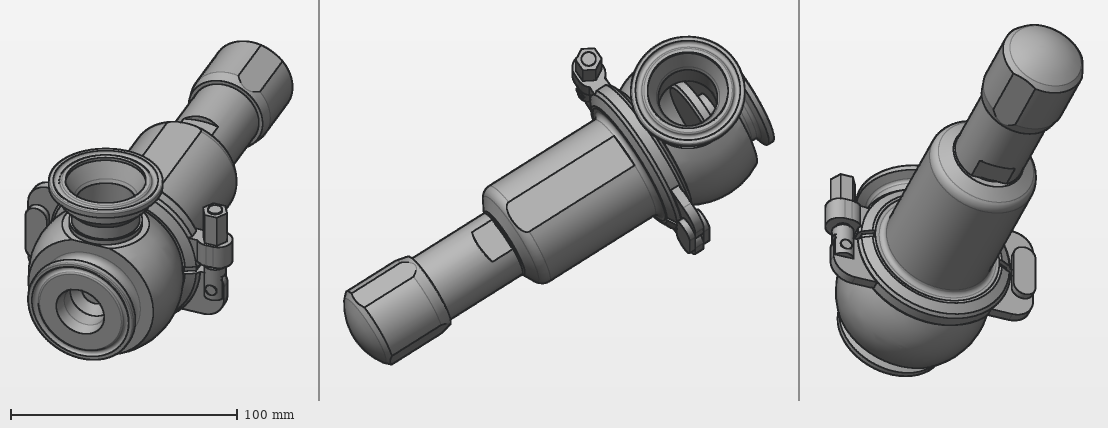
import cadquery as cq
import math


TOTAL_LENGTH = 206.0
INLET_FACE = -29.25
OUTLET_FACE = 52.0
CAP_END = INLET_FACE + TOTAL_LENGTH

RIM_RADIUS = 25.25
RIM_THICKNESS = 2.9
RIM_BACK_RADIUS = 21.3
RIM_BACK_DEPTH = 4.5
FERRULE_NECK_RADIUS = 20.1
FERRULE_NECK_DEPTH = 6.2
GROOVE_RADIUS = 21.75
GROOVE_WIDTH = 2.9
GROOVE_LIP_FILLET = 0.9
RIM_EDGE_FILLET = 0.5

SPHERE_RADIUS = 34.4
SPHERE_INLET_END = -17.0
OUTLET_SEAT_HEIGHT = 28.5
CAVITY_RADIUS = 29.0
CAVITY_FLOOR = -13.5
INLET_FILLET = 3.5

INLET_RADIUS = 11.5
INLET_TAPER_RADIUS = 10.1
INLET_TAPER_DEPTH = 5.5
INLET_STRAIGHT_DEPTH = 12.8
INLET_END_RADIUS = 6.2
INLET_END_DEPTH = 16.7
NOZZLE_NECK_RADIUS = 9.5
NOZZLE_HEAD_RADIUS = 20.0
NOZZLE_HEAD_START = -8.1
NOZZLE_HEAD_END = -3.1
NOZZLE_CHAMFER = 1.2

OUTLET_NECK_RADIUS = 15.1
REDUCER_TOP = 42.2
REDUCER_BOTTOM = 37.0
OUTLET_COLLAR_RADIUS = 16.2
OUTLET_COLLAR_TOP = 30.8
OUTLET_MOUTH_RADIUS = 17.8
OUTLET_MOUTH_DEPTH = 1.5
OUTLET_CONE_RADIUS = 14.0
OUTLET_CONE_DEPTH = 8.7
OUTLET_BORE_RADIUS = 13.1
OUTLET_BORE_DEPTH = 10.5

JOINT = 24.7
FLANGE_RADIUS = 34.0
FLANGE_HALF = 2.2
HUB_FLANGE_HALF = 4.6
CLAMP_HALF = 6.5
SPHERE_BONNET_END = JOINT - CLAMP_HALF
HUB_RADIUS = math.sqrt(SPHERE_RADIUS**2 - SPHERE_BONNET_END**2)
CLAMP_RADIUS = 36.0
CLAMP_FLAT_HALF = 2.5
CLAMP_SHOULDER_HALF = 4.1
CLAMP_SHOULDER_RADIUS = 34.8
CLAMP_SIDE_RADIUS = 30.5
SPLIT_HALF = 1.75

EAR_HALF = 2.2
EAR_HEIGHT = 24.0
EAR_CORNER = 10.0
EAR_INNER_X = 26.0
PIN_RADIUS = 2.6
PIN_Z = 8.45
KNUCKLE_RADIUS = 5.1
HINGE_END = -46.65
HINGE_X = HINGE_END + KNUCKLE_RADIUS
BOLT_X = 42.1
LINK_HALF = 5.3

LUG_RADIUS = 6.4
LUG_END = 50.0
LUG_CENTER_SPACING = 3.4
LUG_BOTTOM = 5.0
LUG_TOP = 16.2
LUG_NECK_HALF = 4.1
BOLT_RADIUS = 3.2
BOLT_TOP = 31.9
BOLT_HEAD_RADIUS = 4.9
BOLT_HEAD_TOP = 2.7
BOLT_HEAD_BOTTOM = -13.6
NUT_ACROSS_FLATS = 10.0
NUT_HEIGHT = 15.1

BONNET_RADIUS = 25.0
BONNET_ROOT_FILLET = 2.5
BONNET_FLAT_HEIGHT = 23.6
BONNET_SHOULDER = 89.6
SHOULDER_ARC_MID = (24.3, 92.1)
SHOULDER_ARC_END = (22.4, 94.0)
BONNET_TOP = 97.4
BONNET_TOP_RADIUS = 16.5

SLEEVE_RADIUS = 16.0
SLEEVE_NECK_RADIUS = 13.7
SLEEVE_SHOULDER = 98.2
SLEEVE_FLAT_EDGE = 109.1
SLEEVE_FLAT_END = 110.5

CAP_RADIUS = 19.05
CAP_BASE = 137.5
CAP_BASE_RADIUS = 17.8
CAP_TAPER_END = 143.0
CAP_CHAMFER_START = 169.0
CAP_DOME_START = 171.3
CAP_DOME_RADIUS = 16.8
CAP_FLAT_DISTANCE = 18.1
CAP_FLAT_ANGLES = (60, 180, 300)


def disc_y(radius, start, end):
    """Cylinder along Y between two Y positions."""
    return cq.Workplane("XZ", origin=(0, start, 0)).circle(radius).extrude(start - end)


def turn_y(outline):
    """Revolve a closed (radius, Y) outline about the valve axis."""
    return outline.close().revolve(360, (0, 0, 0), (0, 1, 0))


def box_between(low, high):
    """Box from its lowest to its highest corner."""
    sizes = [b - a for a, b in zip(low, high)]
    return cq.Workplane("XY").box(*sizes, centered=False).translate(low)


def ferrule(length):
    """Clamp ferrule with its face at Z = 0 pointing up and its neck running down."""
    blank = (
        cq.Workplane("XZ")
        .lineTo(RIM_RADIUS, 0)
        .lineTo(RIM_RADIUS, -RIM_THICKNESS)
        .lineTo(RIM_BACK_RADIUS, -RIM_BACK_DEPTH)
        .tangentArcPoint((FERRULE_NECK_RADIUS, -FERRULE_NECK_DEPTH), relative=False)
        .lineTo(FERRULE_NECK_RADIUS, -length)
        .lineTo(0, -length)
        .close()
        .revolve(360, (0, 0, 0), (0, 1, 0))
    )
    groove = (
        cq.Workplane("XZ")
        .center(GROOVE_RADIUS, 0)
        .circle(GROOVE_WIDTH / 2)
        .revolve(360, (-GROOVE_RADIUS, 0, 0), (-GROOVE_RADIUS, 1, 0))
    )
    blank = blank.edges(">Z").fillet(RIM_EDGE_FILLET).cut(groove)
    lip = cq.selectors.RadiusNthSelector(0)
    return blank.faces(">Z").edges("%CIRCLE").edges(lip).fillet(GROOVE_LIP_FILLET)


def make_ball():
    ball = cq.Workplane("XY").sphere(SPHERE_RADIUS)
    keep = box_between(
        (-SPHERE_RADIUS, SPHERE_INLET_END, -SPHERE_RADIUS),
        (SPHERE_RADIUS, SPHERE_BONNET_END, OUTLET_SEAT_HEIGHT),
    )
    return ball.intersect(keep)


def make_inlet():
    """Inlet ferrule and the concave fillet that joins it to the flat of the ball."""
    neck_end = SPHERE_INLET_END
    tube = ferrule(neck_end - INLET_FACE).rotate((0, 0, 0), (1, 0, 0), 90)
    root = turn_y(
        cq.Workplane("XY")
        .moveTo(0, neck_end)
        .lineTo(FERRULE_NECK_RADIUS + INLET_FILLET, neck_end)
        .radiusArc((FERRULE_NECK_RADIUS, neck_end - INLET_FILLET), -INLET_FILLET)
        .lineTo(0, neck_end - INLET_FILLET)
    )
    return tube.translate((0, INLET_FACE, 0)).union(root)


def make_outlet():
    """Outlet ferrule, reducer cone and neck, with a collar on the flat of the ball."""
    tube = ferrule(OUTLET_FACE - REDUCER_TOP).translate((0, 0, OUTLET_FACE))
    neck = (
        cq.Workplane("XZ")
        .moveTo(0, REDUCER_TOP)
        .lineTo(FERRULE_NECK_RADIUS, REDUCER_TOP)
        .lineTo(OUTLET_NECK_RADIUS, REDUCER_BOTTOM)
        .lineTo(OUTLET_NECK_RADIUS, OUTLET_COLLAR_TOP)
        .lineTo(OUTLET_COLLAR_RADIUS, OUTLET_COLLAR_TOP)
        .lineTo(OUTLET_COLLAR_RADIUS, OUTLET_SEAT_HEIGHT)
        .lineTo(0, OUTLET_SEAT_HEIGHT)
        .close()
        .revolve(360, (0, 0, 0), (0, 1, 0))
    )
    return tube.union(neck)


def make_outlet_bore():
    return (
        cq.Workplane("XZ")
        .moveTo(0, OUTLET_FACE)
        .lineTo(OUTLET_MOUTH_RADIUS, OUTLET_FACE)
        .lineTo(OUTLET_MOUTH_RADIUS, OUTLET_FACE - OUTLET_MOUTH_DEPTH)
        .lineTo(OUTLET_CONE_RADIUS, OUTLET_FACE - OUTLET_CONE_DEPTH)
        .tangentArcPoint((OUTLET_BORE_RADIUS, OUTLET_FACE - OUTLET_BORE_DEPTH), relative=False)
        .lineTo(OUTLET_BORE_RADIUS, 0)
        .lineTo(0, 0)
        .close()
        .revolve(360, (0, 0, 0), (0, 1, 0))
    )


def make_inlet_bore():
    return turn_y(
        cq.Workplane("XY")
        .moveTo(0, INLET_FACE)
        .lineTo(INLET_RADIUS, INLET_FACE)
        .lineTo(INLET_TAPER_RADIUS, INLET_FACE + INLET_TAPER_DEPTH)
        .lineTo(INLET_TAPER_RADIUS, INLET_FACE + INLET_STRAIGHT_DEPTH)
        .lineTo(INLET_END_RADIUS, INLET_FACE + INLET_END_DEPTH)
        .lineTo(0, INLET_FACE + INLET_END_DEPTH)
    )


def make_nozzle():
    neck = disc_y(NOZZLE_NECK_RADIUS, CAVITY_FLOOR, NOZZLE_HEAD_START)
    head = disc_y(NOZZLE_HEAD_RADIUS, NOZZLE_HEAD_START, NOZZLE_HEAD_END)
    return neck.union(head.faces(">Y").chamfer(NOZZLE_CHAMFER))


def make_flange(side, hub_end):
    """Half of the clamped flange pair; side is +1 above the joint and -1 below it."""
    return turn_y(
        cq.Workplane("XY")
        .moveTo(0, JOINT)
        .lineTo(FLANGE_RADIUS, JOINT)
        .lineTo(FLANGE_RADIUS, JOINT + side * FLANGE_HALF)
        .lineTo(HUB_RADIUS, JOINT + side * HUB_FLANGE_HALF)
        .lineTo(HUB_RADIUS, hub_end)
        .lineTo(0, hub_end)
    )


def make_body():
    shell = make_ball().union(make_flange(-1, SPHERE_BONNET_END))
    cavity = cq.Workplane("XY").sphere(CAVITY_RADIUS)
    cavity = cavity.intersect(disc_y(CAVITY_RADIUS, CAVITY_FLOOR, JOINT))
    shell = shell.union(make_inlet()).union(make_outlet())
    shell = shell.cut(cavity).cut(make_outlet_bore())
    return shell.union(make_nozzle()).cut(make_inlet_bore())


def make_bonnet():
    hub_end = JOINT + CLAMP_HALF
    barrel = turn_y(
        cq.Workplane("XY")
        .moveTo(0, hub_end)
        .lineTo(BONNET_RADIUS + BONNET_ROOT_FILLET, hub_end)
        .radiusArc((BONNET_RADIUS, hub_end + BONNET_ROOT_FILLET), BONNET_ROOT_FILLET)
        .lineTo(BONNET_RADIUS, BONNET_SHOULDER)
        .threePointArc(SHOULDER_ARC_MID, SHOULDER_ARC_END)
        .lineTo(BONNET_TOP_RADIUS, BONNET_TOP)
        .lineTo(0, BONNET_TOP)
    )
    flat = box_between(
        (-BONNET_RADIUS, hub_end + BONNET_ROOT_FILLET, BONNET_FLAT_HEIGHT),
        (BONNET_RADIUS, BONNET_TOP, BONNET_RADIUS),
    )
    return make_flange(1, hub_end).union(barrel.cut(flat))


def make_sleeve():
    """Sleeve with a narrow neck and two flats that end in a bow."""
    sleeve = disc_y(SLEEVE_NECK_RADIUS, BONNET_TOP, SLEEVE_SHOULDER)
    sleeve = sleeve.union(disc_y(SLEEVE_RADIUS, SLEEVE_SHOULDER, CAP_BASE))
    half_width = math.sqrt(SLEEVE_RADIUS**2 - SLEEVE_NECK_RADIUS**2)
    flat = (
        cq.Workplane("XY", origin=(0, 0, SLEEVE_NECK_RADIUS))
        .moveTo(-half_width, BONNET_TOP)
        .lineTo(-half_width, SLEEVE_FLAT_EDGE)
        .threePointArc((0, SLEEVE_FLAT_END), (half_width, SLEEVE_FLAT_EDGE))
        .lineTo(half_width, BONNET_TOP)
        .close()
        .extrude(SLEEVE_RADIUS - SLEEVE_NECK_RADIUS)
    )
    return sleeve.cut(flat).cut(flat.mirror("XY"))


def make_cap():
    dome_rise = CAP_END - CAP_DOME_START
    dome_sphere = (CAP_DOME_RADIUS**2 + dome_rise**2) / (2 * dome_rise)
    cap = turn_y(
        cq.Workplane("XY")
        .moveTo(0, CAP_BASE)
        .lineTo(CAP_BASE_RADIUS, CAP_BASE)
        .lineTo(CAP_RADIUS, CAP_TAPER_END)
        .lineTo(CAP_RADIUS, CAP_CHAMFER_START)
        .lineTo(CAP_DOME_RADIUS, CAP_DOME_START)
        .radiusArc((0, CAP_END), -dome_sphere)
    )
    flat = box_between(
        (CAP_FLAT_DISTANCE, CAP_BASE, -CAP_RADIUS),
        (CAP_RADIUS, CAP_END, CAP_RADIUS),
    )
    for angle in CAP_FLAT_ANGLES:
        cap = cap.cut(flat.rotate((0, 0, 0), (0, 1, 0), -angle))
    return cap


def make_clamp_ring():
    """Full ring whose V groove matches the flange pair."""
    half = (
        cq.Workplane("XY")
        .moveTo(FLANGE_RADIUS, 0)
        .lineTo(FLANGE_RADIUS, FLANGE_HALF)
        .lineTo(HUB_RADIUS, HUB_FLANGE_HALF)
        .lineTo(HUB_RADIUS, CLAMP_HALF)
        .lineTo(CLAMP_SIDE_RADIUS, CLAMP_HALF)
        .lineTo(CLAMP_SHOULDER_RADIUS, CLAMP_SHOULDER_HALF)
        .lineTo(CLAMP_RADIUS, CLAMP_FLAT_HALF)
        .lineTo(CLAMP_RADIUS, 0)
    )
    ring = turn_y(half)
    return ring.union(ring.mirror("XZ")).translate((0, JOINT, 0))


def make_ear(pin_x, side):
    """Flat ear with a pin hole; side is +1 for the upper clamp half, -1 for the lower one."""
    direction = math.copysign(1, pin_x)
    inner = direction * EAR_INNER_X
    outer = pin_x + direction * KNUCKLE_RADIUS
    low, high = sorted((inner, outer))
    ear = box_between(
        (low, JOINT - EAR_HALF, SPLIT_HALF),
        (high, JOINT + EAR_HALF, EAR_HEIGHT),
    )
    outer_face = ">X" if direction > 0 else "<X"
    ear = ear.faces(outer_face).edges(">Z").fillet(EAR_CORNER)
    ear = ear.faces(outer_face).edges("<Z").fillet(KNUCKLE_RADIUS)
    hole = disc_y(PIN_RADIUS, JOINT - EAR_HALF, JOINT + EAR_HALF).translate((pin_x, 0, PIN_Z))
    ear = ear.cut(hole).cut(disc_y(FLANGE_RADIUS, JOINT - EAR_HALF, JOINT + EAR_HALF))
    return ear if side > 0 else ear.mirror("XY")


def half_ring(side):
    reach = CLAMP_RADIUS
    half_space = box_between(
        (-reach, JOINT - CLAMP_HALF, SPLIT_HALF),
        (reach, JOINT + CLAMP_HALF, reach),
    )
    if side < 0:
        half_space = half_space.mirror("XY")
    return make_clamp_ring().intersect(half_space)


def make_lug():
    """Rounded lug that the swing bolt passes through."""
    outer_center = LUG_END - LUG_RADIUS
    middle = outer_center - LUG_CENTER_SPACING / 2
    height = LUG_TOP - LUG_BOTTOM
    lug = (
        cq.Workplane("XY", origin=(middle, JOINT, LUG_BOTTOM))
        .slot2D(LUG_CENTER_SPACING + 2 * LUG_RADIUS, 2 * LUG_RADIUS)
        .extrude(height)
    )
    neck = box_between(
        (EAR_INNER_X, JOINT - LUG_NECK_HALF, LUG_BOTTOM),
        (middle, JOINT + LUG_NECK_HALF, LUG_TOP),
    )
    hole = cq.Workplane("XY", origin=(BOLT_X, JOINT, LUG_BOTTOM)).circle(BOLT_RADIUS).extrude(height)
    flange_room = disc_y(FLANGE_RADIUS, JOINT - CLAMP_HALF, JOINT + CLAMP_HALF)
    return lug.union(neck).cut(hole).cut(flange_room)


def make_upper_clamp():
    return half_ring(1).union(make_ear(HINGE_X, 1)).union(make_lug())


def make_lower_clamp():
    return half_ring(-1).union(make_ear(HINGE_X, -1)).union(make_ear(BOLT_X, -1))


def make_link():
    """Two slot-shaped plates astride the ears, joined by the two hinge pins."""
    link = (
        cq.Workplane("XZ", origin=(HINGE_X, JOINT + LINK_HALF, 0))
        .slot2D(2 * (PIN_Z + KNUCKLE_RADIUS), 2 * KNUCKLE_RADIUS, 90)
        .extrude(2 * LINK_HALF)
    )
    reach = PIN_Z + KNUCKLE_RADIUS
    ear_room = box_between(
        (HINGE_X - KNUCKLE_RADIUS, JOINT - EAR_HALF, -reach),
        (HINGE_X + KNUCKLE_RADIUS, JOINT + EAR_HALF, reach),
    )
    link = link.cut(ear_room)
    for pin_z in (PIN_Z, -PIN_Z):
        pin = disc_y(PIN_RADIUS, JOINT - LINK_HALF, JOINT + LINK_HALF)
        link = link.union(pin.translate((HINGE_X, 0, pin_z)))
    return link


def make_bolt_pin():
    pin = disc_y(PIN_RADIUS, JOINT - BOLT_HEAD_RADIUS, JOINT + BOLT_HEAD_RADIUS)
    return pin.translate((BOLT_X, 0, -PIN_Z))


def make_swing_bolt():
    """Bolt with a round forked head astride the lower ear."""
    head_base = (BOLT_X, JOINT, BOLT_HEAD_BOTTOM)
    head = cq.Workplane("XY", origin=head_base).circle(BOLT_HEAD_RADIUS)
    head = head.extrude(BOLT_HEAD_TOP - BOLT_HEAD_BOTTOM)
    ear_room = box_between(
        (BOLT_X - BOLT_HEAD_RADIUS, JOINT - EAR_HALF, BOLT_HEAD_BOTTOM),
        (BOLT_X + BOLT_HEAD_RADIUS, JOINT + EAR_HALF, -SPLIT_HALF),
    )
    shank = cq.Workplane("XY", origin=(BOLT_X, JOINT, BOLT_HEAD_TOP)).circle(BOLT_RADIUS)
    shank = shank.extrude(BOLT_TOP - BOLT_HEAD_TOP)
    return head.cut(ear_room).union(shank).cut(make_bolt_pin())


def make_nut():
    across_corners = NUT_ACROSS_FLATS / math.cos(math.radians(30))
    return (
        cq.Workplane("XY", origin=(BOLT_X, JOINT, LUG_TOP))
        .polygon(6, across_corners)
        .circle(BOLT_RADIUS)
        .extrude(NUT_HEIGHT)
    )


body = make_body().solids()
bonnet = make_bonnet().solids()
sleeve = make_sleeve().solids()
cap = make_cap().solids()
upper_clamp = make_upper_clamp().solids()
lower_clamp = make_lower_clamp().solids()
hinge_link = make_link().solids()
swing_bolt = make_swing_bolt().solids()
bolt_pin = make_bolt_pin().solids()
nut = make_nut().solids()

result = cq.Compound.makeCompound(
    [
        body.val(),
        bonnet.val(),
        sleeve.val(),
        cap.val(),
        upper_clamp.val(),
        lower_clamp.val(),
        hinge_link.val(),
        swing_bolt.val(),
        bolt_pin.val(),
        nut.val(),
    ]
)